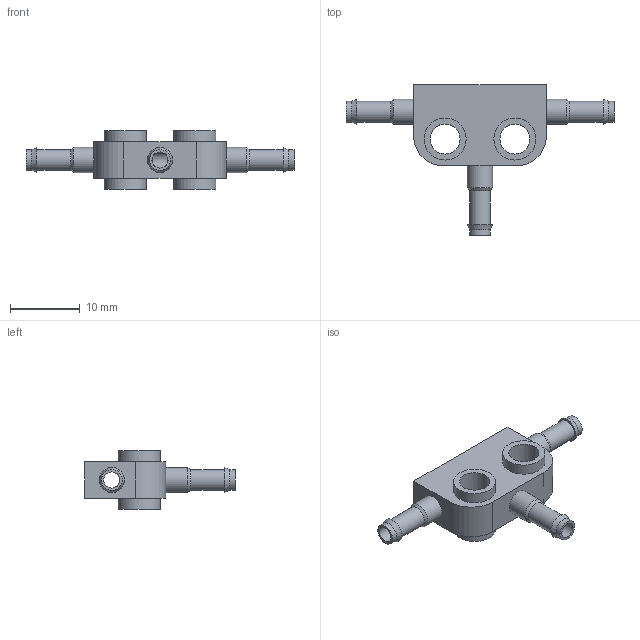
import cadquery as cq

BODY_LENGTH = 19.0
BODY_DEPTH = 11.65
BODY_HEIGHT = 5.2
CORNER_RADIUS = 4.3
OVERALL_LENGTH = 38.4
OVERALL_DEPTH = 21.6
RUN_AXIS_TO_BACK = 3.9

BOSS_DIAMETER = 6.02
MOUNT_HOLE_DIAMETER = 4.3
OVERALL_HEIGHT = 8.4
MOUNT_SPACING = 10.0
MOUNT_TO_FRONT = 3.85

BORE_DIAMETER = 2.3
SHANK_DIAMETER = 3.0
COLLAR_DIAMETER = 3.6
TIP_LENGTH = 0.8
BARB_END = 1.55
SHANK_END = 6.4
COLLAR_START = 6.8

body_back = RUN_AXIS_TO_BACK
body_front = body_back - BODY_DEPTH
body_center_y = (body_back + body_front) / 2
mount_y = body_front + MOUNT_TO_FRONT
run_reach = OVERALL_LENGTH / 2
branch_reach = OVERALL_DEPTH - body_back


def make_body():
    """Flat block with its two front vertical corners rounded."""
    block = cq.Workplane("XY").box(BODY_LENGTH, BODY_DEPTH, BODY_HEIGHT)
    rounded = block.edges("|Z and <Y").fillet(CORNER_RADIUS)
    return rounded.translate((0, body_center_y, 0))


def mount_cylinders(diameter):
    """Two full-height cylinders on the mounting centers."""
    centers = [(-MOUNT_SPACING / 2, mount_y), (MOUNT_SPACING / 2, mount_y)]
    plane = cq.Workplane("XY").workplane(offset=-OVERALL_HEIGHT / 2)
    return plane.pushPoints(centers).circle(diameter / 2).extrude(OVERALL_HEIGHT)


def make_barb(reach, root):
    """Solid hose barb pointing along -Y, from the body face at root to the tip at reach."""
    shank_radius = SHANK_DIAMETER / 2
    collar_radius = COLLAR_DIAMETER / 2
    profile = [
        (0, -reach),
        (shank_radius, -reach),
        (shank_radius, -reach + TIP_LENGTH),
        (collar_radius, -reach + BARB_END),
        (shank_radius, -reach + BARB_END),
        (shank_radius, -reach + SHANK_END),
        (collar_radius, -reach + COLLAR_START),
        (collar_radius, -root),
        (0, -root),
    ]
    return cq.Workplane("XY").polyline(profile).close().revolve(360, (0, 0), (0, 1))


def make_bores():
    """Run bore through both side barbs, joined by the branch bore from the front barb."""
    radius = BORE_DIAMETER / 2
    run = cq.Workplane("YZ").circle(radius).extrude(run_reach, both=True)
    branch = cq.Workplane("XZ").circle(radius).extrude(branch_reach)
    return run.union(branch)


result = make_body().union(mount_cylinders(BOSS_DIAMETER))
result = result.union(make_barb(branch_reach, -body_front))
run_barb = make_barb(run_reach, BODY_LENGTH / 2)
for turn in (-90, 90):
    result = result.union(run_barb.rotate((0, 0, 0), (0, 0, 1), turn))
result = result.cut(mount_cylinders(MOUNT_HOLE_DIAMETER)).cut(make_bores())